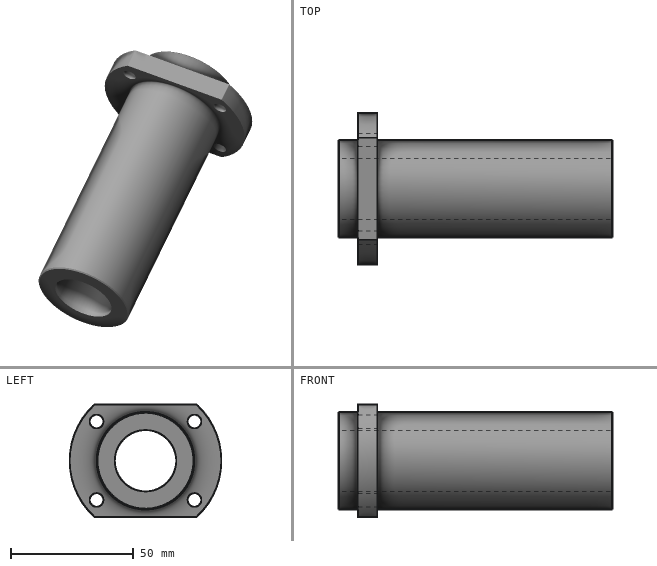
import cadquery as cq

length = 112.0
sleeve_diameter = 40.0
bore_diameter = 25.0
end_chamfer = 0.5
root_fillet = 0.3

flange_start = 8.0
flange_thickness = 8.0
flange_diameter = 62.0
flange_height = 46.0

hole_diameter = 5.5
hole_spacing_y = 40.0
hole_spacing_z = 32.0


def make_sleeve():
    sleeve = cq.Workplane("YZ").circle(sleeve_diameter / 2).extrude(length)
    return sleeve.faces("<X or >X").chamfer(end_chamfer)


def make_flange():
    plane = cq.Workplane("YZ", origin=(flange_start, 0, 0))
    disc = plane.circle(flange_diameter / 2).extrude(flange_thickness)
    flats = plane.rect(flange_diameter, flange_height).extrude(flange_thickness)
    holes = (
        plane.rect(hole_spacing_y, hole_spacing_z, forConstruction=True)
        .vertices()
        .circle(hole_diameter / 2)
        .extrude(flange_thickness)
    )
    return disc.intersect(flats).cut(holes)


def round_flange_roots(body):
    root_zone = cq.selectors.BoxSelector(
        (flange_start - root_fillet, -sleeve_diameter, -sleeve_diameter),
        (flange_start + flange_thickness + root_fillet, sleeve_diameter, sleeve_diameter),
    )
    root_circles = body.edges(root_zone).edges("%CIRCLE").edges(
        cq.selectors.RadiusNthSelector(1)
    )
    return root_circles.fillet(root_fillet)


bore = cq.Workplane("YZ").circle(bore_diameter / 2).extrude(length)

result = round_flange_roots(make_sleeve().union(make_flange())).cut(bore)